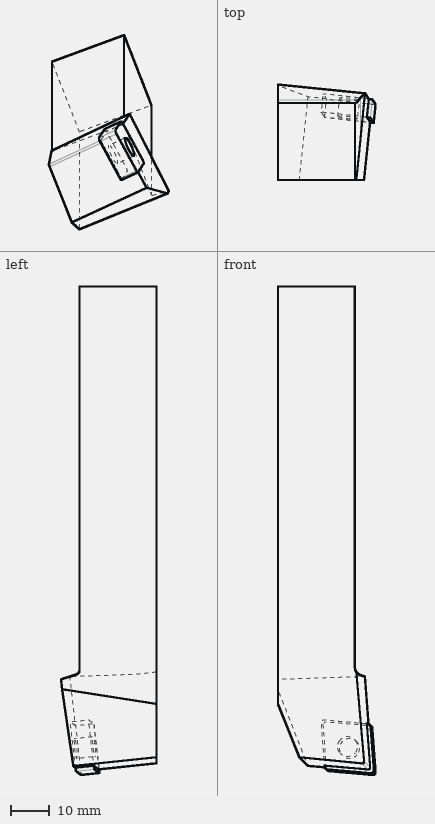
import cadquery as cq
import math

LENGTH = 126.4
SHANK = 20.0
HEAD_TOP = 28.4

BACK_LEDGE_TOP = 27.0
SIDE_LEDGE_TOP = 27.8
BACK_LEDGE_RADIUS = 1.0
SIDE_LEDGE_RADIUS = 2.0
LEDGE_DROP = 18.0
LEDGE_REACH = 7.6

RAKE_SLOPE = 0.105
TIP = (25.4, 19.5, -0.08)
LEAD = 5.0
UP_EDGE = 90 + LEAD
BASE_EDGE = 180 - LEAD

INSERT_EDGE = 12.9
INSERT_THICKNESS = 4.8
INSERT_RADIUS = 0.8
INSERT_HOLE = 5.2

HEAD_INSET = 0.9
HEAD_CORNER = 0.5
FLANK_LENGTH = 37.9
BASE_LENGTH = 16.8
RELIEF_ANGLE = 22.0
RELIEF_LENGTH = 40.4
HEAD_DEPTH = 31.6

rake_plane = cq.Plane(origin=TIP, xDir=(1, -RAKE_SLOPE, 0), normal=(-RAKE_SLOPE, -1, RAKE_SLOPE))


def along(point, angle, distance):
    """Move from a point by a distance, at an angle in degrees from local x."""
    turn = math.radians(angle)
    return (point[0] + distance * math.cos(turn), point[1] + distance * math.sin(turn))


def make_insert_blank():
    tip = (0, 0)
    upper = along(tip, UP_EDGE, INSERT_EDGE)
    far = along(upper, BASE_EDGE, INSERT_EDGE)
    lower = along(tip, BASE_EDGE, INSERT_EDGE)
    blank = cq.Workplane(rake_plane).polyline([tip, upper, far, lower]).close()
    corners = cq.selectors.ParallelDirSelector(rake_plane.zDir)
    return blank.extrude(INSERT_THICKNESS).edges(corners).fillet(INSERT_RADIUS)


def make_insert():
    center = along(along((0, 0), UP_EDGE, INSERT_EDGE / 2), BASE_EDGE, INSERT_EDGE / 2)
    hole = cq.Workplane(rake_plane).center(*center).circle(INSERT_HOLE / 2).extrude(INSERT_THICKNESS)
    return make_insert_blank().cut(hole)


def make_flare(plane, depth, top, radius):
    """One side of the shank widening through a round into the sloping ledge."""
    slope = math.radians(LEDGE_DROP)
    sweep = math.pi / 2 - slope
    center = (SHANK + radius, top)

    def on_round(turn):
        return (center[0] - radius * math.cos(turn), center[1] - radius * math.sin(turn))

    outer_x = SHANK + LEDGE_REACH
    round_end = on_round(sweep)
    outer_z = round_end[1] - (outer_x - round_end[0]) * math.tan(slope)
    return (
        cq.Workplane(plane)
        .moveTo(0, HEAD_TOP)
        .lineTo(SHANK, HEAD_TOP)
        .lineTo(SHANK, top)
        .threePointArc(on_round(sweep / 2), round_end)
        .lineTo(outer_x, outer_z)
        .lineTo(outer_x, 0)
        .lineTo(0, 0)
        .close()
        .extrude(depth)
    )


def make_head():
    width = SHANK + LEDGE_REACH
    side = make_flare("XZ", -width, SIDE_LEDGE_TOP, SIDE_LEDGE_RADIUS)
    back = make_flare("YZ", width, BACK_LEDGE_TOP, BACK_LEDGE_RADIUS)

    edge_angle = BASE_EDGE - UP_EDGE
    corner_offset = HEAD_INSET / math.sin(math.radians(edge_angle / 2))
    corner = along((0, 0), (UP_EDGE + BASE_EDGE) / 2, corner_offset)
    flank_top = along(corner, UP_EDGE, FLANK_LENGTH)
    base_end = along(corner, BASE_EDGE, BASE_LENGTH)
    relief_top = along(base_end, 90 + RELIEF_ANGLE, RELIEF_LENGTH)
    prism = (
        cq.Workplane(rake_plane)
        .polyline([corner, flank_top, relief_top, base_end])
        .close()
        .extrude(HEAD_DEPTH)
    )
    corner_edge = cq.selectors.NearestToPointSelector(
        rake_plane.toWorldCoords((*corner, HEAD_DEPTH / 2)).toTuple())
    return prism.edges(corner_edge).fillet(HEAD_CORNER).intersect(side).intersect(back)


def make_holder():
    shank = (
        cq.Workplane("XY", origin=(0, 0, HEAD_TOP))
        .rect(SHANK, SHANK, centered=False)
        .extrude(LENGTH - HEAD_TOP)
    )
    return shank.union(make_head()).cut(make_insert_blank())


holder = make_holder()
insert = make_insert()
result = cq.Compound.makeCompound([holder.solids().val(), insert.solids().val()])